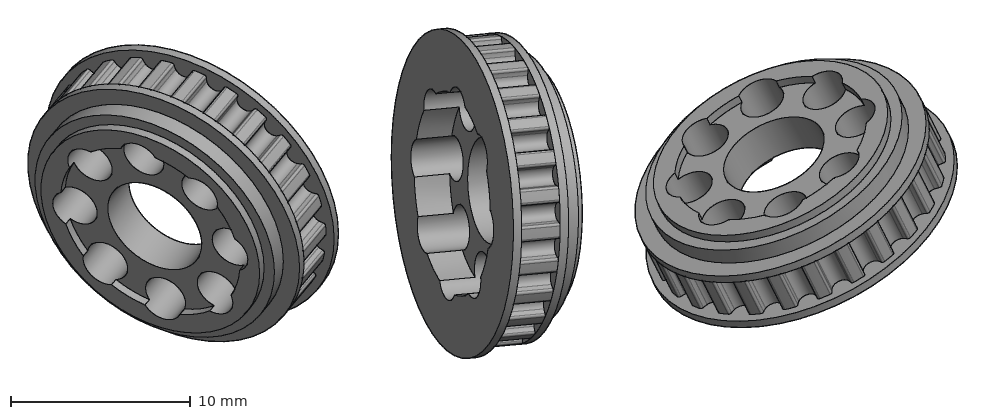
import cadquery as cq
import math


hub_diameter = 14.0
collar_diameter = 15.32
rim_diameter = 17.4
tooth_diameter = 17.38
flange_diameter = 18.41
total_length = 5.0
step_length = total_length / 10
hub_length = step_length
collar_length = 2 * step_length
rim_length = step_length
tooth_length = 5 * step_length
flange_length = step_length

bore_diameter = 6.0
recess_diameter = 11.45
hub_recess_depth = step_length
web_thickness = 2.4
flange_recess_depth = total_length - hub_recess_depth - web_thickness
hole_count = 8
hole_diameter = 2.55
hole_circle_diameter = 10.02
hole_start_angle = 8.0

groove_count = 26
groove_depth = 0.75
groove_root_radius = 0.55
groove_flank_radius = 1.0
flank_center_offset = 0.4
tooth_tip_radius = 0.15
groove_start_angle = 93.0
mouth_clearance = 0.18


def cylinder(diameter, start, length):
    """Solid cylinder on the pulley axis, growing from Y = start towards +Y."""
    return cq.Workplane("XZ", origin=(0, start, 0)).circle(diameter / 2).extrude(-length)


def stepped_body():
    sections = [
        (hub_diameter, hub_length),
        (collar_diameter, collar_length),
        (rim_diameter, rim_length),
        (tooth_diameter, tooth_length),
        (flange_diameter, flange_length),
    ]
    start = 0.0
    body = None
    for diameter, length in sections:
        section = cylinder(diameter, start, length)
        body = section if body is None else body.union(section)
        start += length
    return body


def point_towards(start, target, distance):
    """Point at the given distance from start along the line to target; negative goes away from it."""
    share = distance / math.dist(start, target)
    return (start[0] + share * (target[0] - start[0]), start[1] + share * (target[1] - start[1]))


def mirrored(point):
    return (point[0], -point[1])


def groove_cutter():
    """Groove open outwards along +X: a round root, curved flanks and rounded tooth tips, all tangent."""
    outer_radius = tooth_diameter / 2
    root = (outer_radius - groove_depth, 0)

    root_center = (root[0] + groove_root_radius, 0)
    center_gap = groove_flank_radius - groove_root_radius
    flank_center_x = root_center[0] + math.sqrt(center_gap**2 - flank_center_offset**2)
    flank_center = (flank_center_x, -flank_center_offset)
    root_end = point_towards(root_center, flank_center, -groove_root_radius)

    tip_to_axis = outer_radius - tooth_tip_radius
    tip_to_flank = groove_flank_radius + tooth_tip_radius
    axis_to_flank = math.hypot(*flank_center)
    cosine = (tip_to_axis**2 + axis_to_flank**2 - tip_to_flank**2) / (2 * tip_to_axis * axis_to_flank)
    tip_angle = math.atan2(flank_center[1], flank_center[0]) + math.acos(cosine)
    tip_center = (tip_to_axis * math.cos(tip_angle), tip_to_axis * math.sin(tip_angle))
    mouth = (outer_radius * math.cos(tip_angle), outer_radius * math.sin(tip_angle))
    flank_end = point_towards(flank_center, tip_center, groove_flank_radius)

    flank_chord_middle = ((root_end[0] + flank_end[0]) / 2, (root_end[1] + flank_end[1]) / 2)
    flank_middle = point_towards(flank_center, flank_chord_middle, groove_flank_radius)
    tip_chord_middle = ((mouth[0] + flank_end[0]) / 2, (mouth[1] + flank_end[1]) / 2)
    tip_middle = point_towards(tip_center, tip_chord_middle, tooth_tip_radius)
    clear = (outer_radius + mouth_clearance, mouth[1])

    return (
        cq.Workplane("XZ", origin=(0, hub_length + collar_length + rim_length, 0))
        .moveTo(*clear)
        .lineTo(*mouth)
        .threePointArc(tip_middle, flank_end)
        .threePointArc(flank_middle, root_end)
        .threePointArc(root, mirrored(root_end))
        .threePointArc(mirrored(flank_middle), mirrored(flank_end))
        .threePointArc(mirrored(tip_middle), mirrored(mouth))
        .lineTo(*mirrored(clear))
        .close()
        .extrude(-tooth_length)
    )


def cut_grooves(body):
    cutter = groove_cutter()
    for index in range(groove_count):
        angle = groove_start_angle + index * 360 / groove_count
        body = body.cut(cutter.rotate((0, 0, 0), (0, -1, 0), angle))
    return body


def cut_recesses_and_bore(body):
    body = body.cut(cylinder(recess_diameter, 0, hub_recess_depth))
    body = body.cut(cylinder(recess_diameter, total_length - flange_recess_depth, flange_recess_depth))
    return body.cut(cylinder(bore_diameter, 0, total_length))


def cut_holes(body):
    holes = (
        cq.Workplane("XZ")
        .polarArray(hole_circle_diameter / 2, hole_start_angle, 360, hole_count)
        .circle(hole_diameter / 2)
        .extrude(-total_length)
    )
    return body.cut(holes)


result = cut_holes(cut_recesses_and_bore(cut_grooves(stepped_body())))